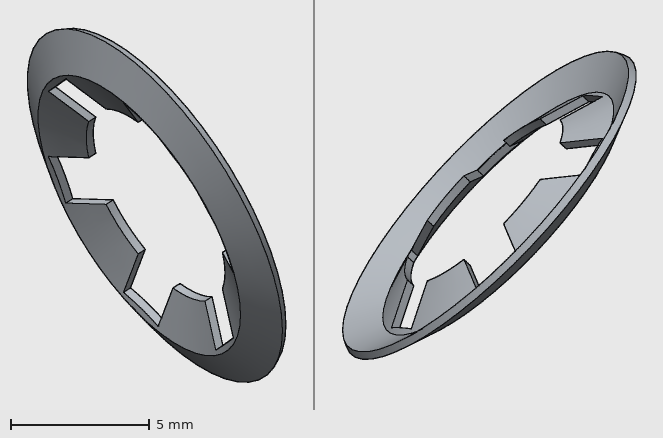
import cadquery as cq
import math

overall_depth = 1.09
rim_radius = 7.365
ridge_radius = 5.845
bore_radius = 4.0
thickness = 0.3
rim_cone_angle = math.radians(25.5)
slot_count = 6
slot_width = 2.0
slot_floor_distance = 5.58

front_y = -overall_depth / 2
rim_front_y = front_y + (rim_radius - ridge_radius) * math.tan(rim_cone_angle)
rim_back_radius = rim_radius - thickness * math.sin(rim_cone_angle)
rim_back_y = rim_front_y + thickness * math.cos(rim_cone_angle)
axial_thickness = thickness / math.cos(rim_cone_angle)
ridge_back_y = front_y + axial_thickness
tab_back_y = front_y + overall_depth
tab_front_y = tab_back_y - axial_thickness
full_turn = 360


def make_ring():
    """Revolve the bent-sheet section, a shallow V, around the Y axis."""
    section = (
        cq.Workplane("XY")
        .moveTo(bore_radius, tab_front_y)
        .lineTo(ridge_radius, front_y)
        .lineTo(rim_radius, rim_front_y)
        .lineTo(rim_back_radius, rim_back_y)
        .lineTo(ridge_radius, ridge_back_y)
        .lineTo(bore_radius, tab_back_y)
        .close()
    )
    return section.revolve(full_turn, (0, 0, 0), (0, 1, 0))


def make_slot(angle):
    """Straight cutter from the axis to the slot floor, turned by angle about Y."""
    cutter = cq.Workplane("XY").box(
        slot_width, 2 * overall_depth, slot_floor_distance, centered=(True, True, False)
    )
    return cutter.rotate((0, 0, 0), (0, 1, 0), angle)


result = make_ring()
for index in range(slot_count):
    result = result.cut(make_slot(index * full_turn / slot_count))